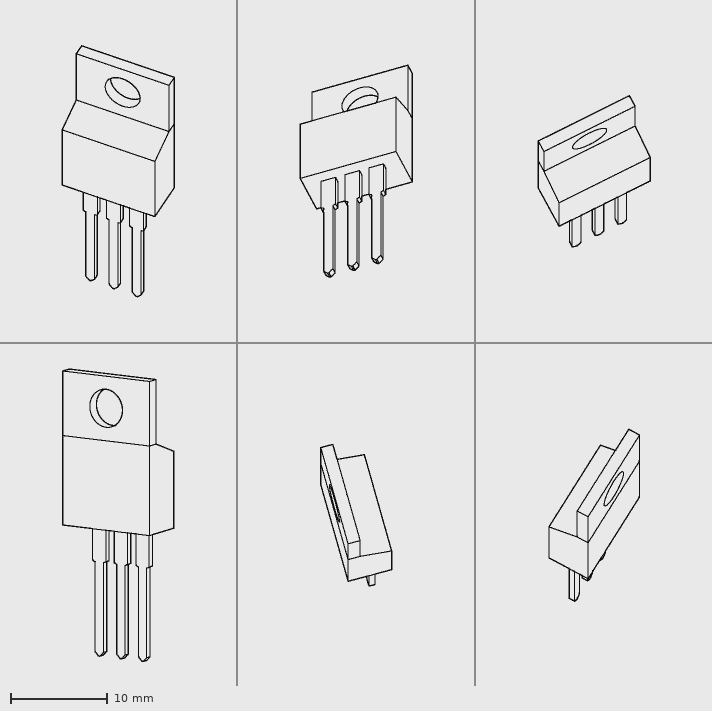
import cadquery as cq

width = 10.68
depth = 4.7
height = 30.35

tab_thickness = 1.3
tab_height = 6.83
hole_diameter = 4.0
hole_below_top = 3.4

housing_bottom = 14.05
slope_drop = 1.3

lead_count = 3
lead_pitch = 2.67
lead_thickness = 0.67
lead_front = 1.18
shank_width = 1.65
pin_width = 1.03
shoulder_height = 9.92
shoulder_drop = 0.15
tip_height = 0.45
tip_width = 0.15

tab_front = depth - tab_thickness
tab_bottom = height - tab_height


def make_tab():
    """Flat plate standing on the back of the housing, with a mounting hole."""
    plate = cq.Workplane("XY").box(width, tab_thickness, tab_height, centered=(True, False, False))
    plate = plate.translate((0, tab_front, tab_bottom))
    hole = (
        cq.Workplane("XZ", origin=(0, depth, height - hole_below_top))
        .circle(hole_diameter / 2)
        .extrude(tab_thickness)
    )
    return plate.cut(hole)


def make_housing():
    """Block whose top slopes down from the tab to the front face."""
    side_profile = [
        (0, housing_bottom),
        (depth, housing_bottom),
        (depth, tab_bottom),
        (tab_front, tab_bottom),
        (0, tab_bottom - slope_drop),
    ]
    return cq.Workplane("YZ").polyline(side_profile).close().extrude(width / 2, both=True)


def make_lead(x_center):
    """Flat lead: wide shank, sloped shoulders, narrow pin and tapered tip."""
    right_edge = [
        (shank_width / 2, housing_bottom),
        (shank_width / 2, shoulder_height + shoulder_drop),
        (pin_width / 2, shoulder_height),
        (pin_width / 2, tip_height),
        (tip_width / 2, 0),
    ]
    left_edge = [(-x, z) for x, z in reversed(right_edge)]
    lead_back = lead_front + lead_thickness
    return (
        cq.Workplane("XZ", origin=(x_center, lead_back, 0))
        .polyline(right_edge + left_edge)
        .close()
        .extrude(lead_thickness)
    )


tab = make_tab()
housing = make_housing()
leads = []
for index in range(lead_count):
    lead_x = (index - (lead_count - 1) / 2) * lead_pitch
    leads.append(make_lead(lead_x).val())

result = cq.Compound.makeCompound([tab.val(), housing.val(), *leads])